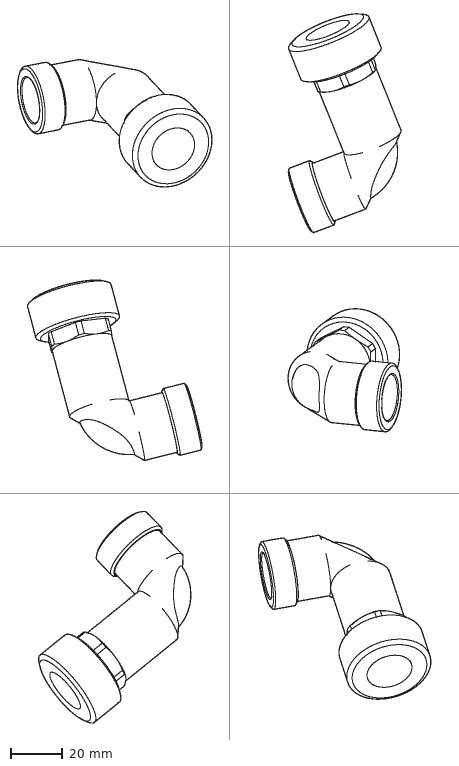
import cadquery as cq
import math

overall_length = 73.45
pipe_radius = 24.0 / 2
bore_radius = 18.0 / 2

collar_radius = 26.9 / 2
collar_start = 25.05
collar_back_chamfer_length = 0.9
collar_back_chamfer_depth = 0.95
collar_end_chamfer_length = 0.65
collar_end_chamfer_depth = 0.95
bore_chamfer = 0.45

nut_radius = 33.7 / 2
nut_start = 44.9
nut_back_chamfer_length = 0.95
nut_back_chamfer_depth = 1.7
nut_end_chamfer_length = 1.1
nut_end_chamfer_depth = 1.9
hex_start = 39.0
hex_across_flats = 2 * pipe_radius
hex_corner_radius = 26.5 / 2
hex_chamfer_length = 0.7

overall_width = 51.85
nut_end = overall_length - collar_radius
collar_end = overall_width - nut_radius


def revolve_about_x(points):
    """Revolve an (axial position, radius) outline about the X axis."""
    return cq.Workplane("XY").polyline(points).close().revolve(360, (0, 0, 0), (1, 0, 0))


def revolve_about_y(points):
    """Revolve a (distance along -Y, radius) outline about the Y axis."""
    outline = [(radius, -distance) for distance, radius in points]
    return cq.Workplane("XY").polyline(outline).close().revolve(360, (0, 0, 0), (0, 1, 0))


def tube_run(radius):
    """Two straight legs joined by an oblique cylinder running at 45 degrees."""
    start = pipe_radius
    long_leg = cq.Workplane("YZ").workplane(offset=start).circle(radius).extrude(nut_end - start)
    short_leg = cq.Workplane("XZ").workplane(offset=start).circle(radius).extrude(collar_end - start)
    mouth = cq.Wire.makeCircle(radius, cq.Vector(0, -start, 0), cq.Vector(0, 1, 0))
    mouth = mouth.rotate(cq.Vector(0, 0, 0), cq.Vector(0, 1, 0), 90)
    reach = start + radius
    oblique = cq.Workplane(cq.Solid.extrudeLinear(mouth, [], cq.Vector(reach, reach, 0)))
    size = 4 * pipe_radius
    keep = cq.Workplane("XY").box(size, size, size).translate((start - size / 2, 0, 0))
    return long_leg.union(short_leg).union(oblique.intersect(keep))


def elbow_bulge():
    """Quarter torus of bore size that swells through the outside of the elbow."""
    return (
        cq.Workplane("XZ", origin=(0, -pipe_radius, 0))
        .circle(bore_radius)
        .revolve(90, (pipe_radius, 0, 0), (pipe_radius, -1, 0))
    )


def collar():
    return revolve_about_y([
        (collar_start, 0),
        (collar_start, collar_radius - collar_back_chamfer_depth),
        (collar_start + collar_back_chamfer_length, collar_radius),
        (collar_end - collar_end_chamfer_length, collar_radius),
        (collar_end, collar_radius - collar_end_chamfer_depth),
        (collar_end, 0),
    ])


def nut():
    return revolve_about_x([
        (nut_start, 0),
        (nut_start, nut_radius - nut_back_chamfer_depth),
        (nut_start + nut_back_chamfer_length, nut_radius),
        (nut_end - nut_end_chamfer_length, nut_radius),
        (nut_end, nut_radius - nut_end_chamfer_depth),
        (nut_end, 0),
    ])


def hexagon():
    """Hexagon with flats facing +Y and -Y, turned down at its corners and chamfered."""
    across_corners = hex_across_flats / math.cos(math.pi / 6)
    prism = (
        cq.Workplane("YZ", origin=(hex_start, 0, 0))
        .transformed(rotate=(0, 0, 90))
        .polygon(6, across_corners)
        .extrude(nut_start - hex_start)
    )
    turned_blank = revolve_about_x([
        (hex_start, 0),
        (hex_start, pipe_radius),
        (hex_start + hex_chamfer_length, hex_corner_radius),
        (nut_start, hex_corner_radius),
        (nut_start, 0),
    ])
    return prism.intersect(turned_blank)


def bore_mouth():
    """Chamfer around the bore at the collar end."""
    return revolve_about_y([
        (collar_end - bore_chamfer, 0),
        (collar_end - bore_chamfer, bore_radius),
        (collar_end, bore_radius + bore_chamfer),
        (collar_end, 0),
    ])


body = tube_run(pipe_radius).union(elbow_bulge()).union(collar()).union(hexagon()).union(nut())
result = body.cut(tube_run(bore_radius)).cut(bore_mouth())